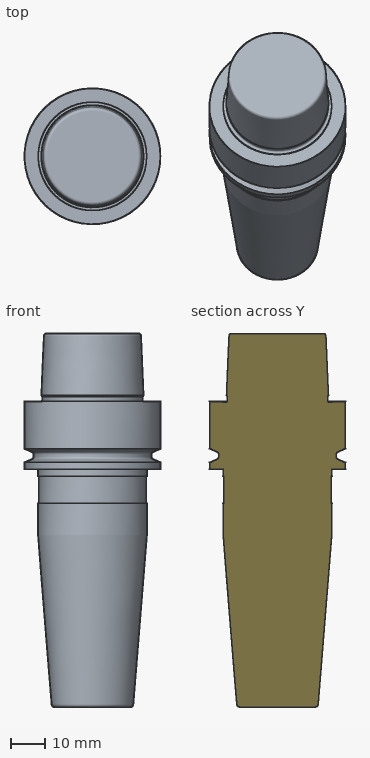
import cadquery as cq
import math

total_length = 109.9
flange_width = 20.0
flange_radius = 20.0

shank_length = 20.0
shank_base_radius = 15.1
shank_tip_radius = 14.3
shank_tip_fillet = 0.9
undercut_top = 1.9
undercut_floor_top = 1.3
undercut_radius = 14.8
undercut_fillet = 0.4
face_recess_radius = 15.9
face_recess_depth = 0.2

groove_top = -14.0
groove_floor_top = -15.6
groove_floor_bottom = -16.3
groove_bottom = -17.9
groove_radius = 17.4
groove_fillet = 0.8
groove_fillet_sweep = math.radians(60)

neck_radius = 16.0
relief_radius = 15.8
relief_top = -22.0
relief_bottom = -29.9
nose_top = -39.2
nose_tip_radius = 12.0
nose_tip_fillet = 1.0
nose_bottom = shank_length - total_length


def revolve_profile(points):
    """Turn a closed outline of (radius, height) points around the Z axis."""
    return cq.Workplane("XZ").polyline(points).close().revolve(360, (0, 0, 0), (0, 1, 0))


def make_shank():
    body = revolve_profile([
        (0, -face_recess_depth),
        (undercut_radius, -face_recess_depth),
        (undercut_radius, undercut_floor_top),
        (shank_base_radius, undercut_top),
        (shank_tip_radius, shank_length),
        (0, shank_length),
    ])
    return body.faces(">Z").edges().fillet(shank_tip_fillet)


def groove_fillet_point(angle, floor_height, direction):
    """Point on a floor fillet, turned by an angle from the floor; direction +1 rises, -1 falls."""
    radius = groove_radius + groove_fillet * (1 - math.cos(angle))
    height = floor_height + direction * groove_fillet * math.sin(angle)
    return radius, height


def make_flange():
    half_sweep = groove_fillet_sweep / 2
    outline = (
        cq.Workplane("XZ")
        .moveTo(0, -face_recess_depth)
        .lineTo(0, undercut_fillet - face_recess_depth)
        .lineTo(undercut_radius, undercut_fillet - face_recess_depth)
        .radiusArc((undercut_radius + undercut_fillet, -face_recess_depth), -undercut_fillet)
        .lineTo(face_recess_radius, -face_recess_depth)
        .lineTo(face_recess_radius, 0)
        .lineTo(flange_radius, 0)
        .lineTo(flange_radius, groove_top)
        .lineTo(*groove_fillet_point(groove_fillet_sweep, groove_floor_top, 1))
        .threePointArc(
            groove_fillet_point(half_sweep, groove_floor_top, 1),
            (groove_radius, groove_floor_top),
        )
        .lineTo(groove_radius, groove_floor_bottom)
        .threePointArc(
            groove_fillet_point(half_sweep, groove_floor_bottom, -1),
            groove_fillet_point(groove_fillet_sweep, groove_floor_bottom, -1),
        )
        .lineTo(flange_radius, groove_bottom)
        .lineTo(flange_radius, -flange_width)
        .lineTo(0, -flange_width)
        .close()
    )
    return outline.revolve(360, (0, 0, 0), (0, 1, 0))


def make_nose():
    body = revolve_profile([
        (0, -flange_width),
        (neck_radius, -flange_width),
        (neck_radius, relief_top),
        (relief_radius, relief_top),
        (relief_radius, relief_bottom),
        (neck_radius, relief_bottom),
        (neck_radius, nose_top),
        (nose_tip_radius, nose_bottom),
        (0, nose_bottom),
    ])
    return body.faces("<Z").edges().fillet(nose_tip_fillet)


result = make_flange().union(make_shank()).union(make_nose())